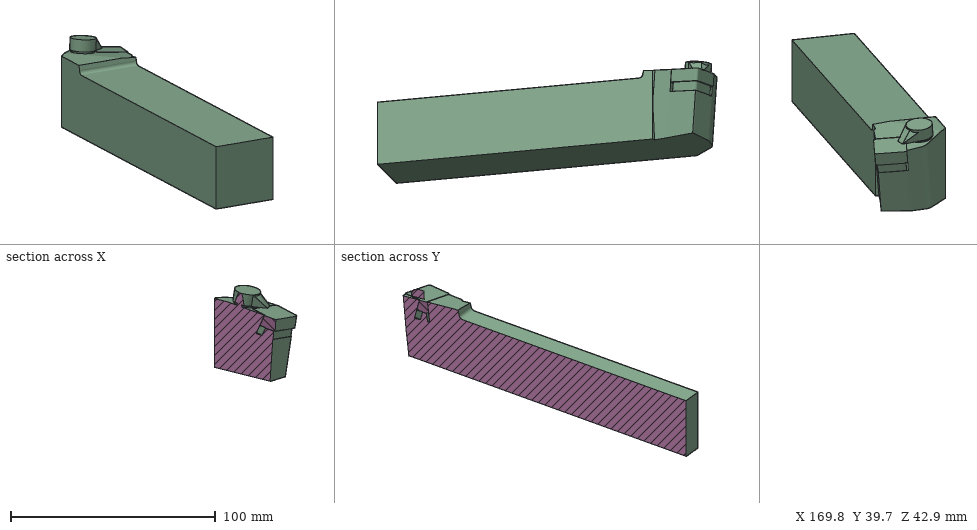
import cadquery as cq
import math

overall_length = 169.8
shank_size = 32.0
head_height = 36.3
step_x = 34.5
step_lean = 0.7
step_radius = 2.0
shank_front_x = 16.5
shank_back_x = 29.5
blank_width = 51.0
blank_overhang = 8.5

tilt = 8.0
hinge_x = 12.9
hinge_y = 3.0
trim_size = 101.9

insert_size = 15.8
insert_thickness = 6.3
insert_radius = 1.2
insert_drop = 0.2
tip_x = 3.9
tip_y = 40.0
lead_angle = 15.0
shim_thickness = 4.6
shim_inset = 0.8
shim_radius = 1.5
seat_depth = insert_drop + insert_thickness + shim_thickness

clamp_x = 11.7
clamp_y = 14.6
clamp_radius = 6.5
clamp_height = 7.0
clamp_gap = 0.8
stem_radius = 6.0

nose_arc_start = (shank_front_x - 13.2, 13.2)
nose_arc_end = (1.2, 16.6)
seat_corner_strip = [(0.7, 24.0), (1.0, 25.6)]
tip_corner_strip = [(4.2, 37.5), (4.8, 38.7)]
back_edge = [(19.4, 35.0), (27.9, 33.3), (shank_back_x, shank_size)]

tilt_rad = math.radians(tilt)
downhill = math.sin(tilt_rad) * math.sqrt(0.5)
seat_plane = cq.Plane(
    origin=(hinge_x, hinge_y, head_height),
    xDir=(1, 1, 0),
    normal=(-downhill, downhill, math.cos(tilt_rad)),
)


def on_seat(x, y):
    """Seat coordinates of the seat-plane point that lies directly above or below plan point (x, y)."""
    dx = x - hinge_x
    dy = y - hinge_y
    return ((dx + dy) * math.sqrt(0.5), (dy - dx) * math.sqrt(0.5) / math.cos(tilt_rad))


def seat_level(depth):
    """Workplane parallel to the seat plane, the given depth below it."""
    return cq.Workplane(seat_plane).workplane(offset=-depth)


def square_prism(inset, depth, thickness):
    """Insert-shaped block reaching down from the given depth, moved in from every edge."""
    size = insert_size - 2 * inset
    corner = on_seat(tip_x, tip_y)
    edge_angle = math.radians(-45 - lead_angle)
    half = insert_size / 2
    center_x = corner[0] + half * (math.cos(edge_angle) + math.sin(edge_angle))
    center_y = corner[1] + half * (math.sin(edge_angle) - math.cos(edge_angle))
    return (
        seat_level(depth + thickness).center(center_x, center_y)
        .transformed(rotate=(0, 0, -45 - lead_angle))
        .rect(size, size).extrude(thickness)
    )


def rounded_prism(inset, depth, thickness, radius):
    """Square block with its four upright corners rounded."""
    block = square_prism(inset, depth, thickness)
    upright = cq.selectors.ParallelDirSelector(seat_plane.zDir)
    return block.edges(upright).fillet(radius)


def make_blank():
    """Stepped side profile over the full width."""
    return (
        cq.Workplane("XZ", origin=(0, blank_width, 0))
        .moveTo(-blank_overhang, 0)
        .lineTo(overall_length, 0)
        .lineTo(overall_length, shank_size)
        .lineTo(step_x + step_radius, shank_size)
        .tangentArcPoint((step_x, shank_size + step_radius), relative=False)
        .lineTo(step_x - step_lean, head_height)
        .lineTo(-blank_overhang, head_height)
        .close().extrude(blank_width)
    )


def make_plan():
    """Upright shank outline joined to the head outline, which leans with the seat."""
    shank = (
        cq.Workplane("XY")
        .polyline([
            (shank_front_x, 0), (overall_length, 0),
            (overall_length, shank_size), (shank_back_x, shank_size),
        ])
        .close().extrude(head_height)
    )
    nose_end_y = -blank_overhang
    outline = seat_corner_strip + tip_corner_strip + back_edge
    head = (
        seat_level(trim_size / 2)
        .moveTo(*on_seat(shank_front_x - nose_end_y, nose_end_y))
        .lineTo(*on_seat(*nose_arc_start))
        .tangentArcPoint(on_seat(*nose_arc_end), relative=False)
        .polyline([on_seat(*point) for point in outline], includeCurrent=True)
        .close().extrude(trim_size)
    )
    return shank.union(head)


def make_clamp():
    """Round clamp head and faceted nose, held just clear of the head by a narrower stem."""
    center = on_seat(clamp_x, clamp_y)
    head = seat_level(-clamp_gap).center(*center).circle(clamp_radius).extrude(clamp_height - clamp_gap)
    stem = seat_level(0).center(*center).circle(stem_radius).extrude(clamp_height)

    left_root = (5.6, 15.0)
    right_root = (15.1, 20.0)
    left_tip = (6.3, 25.1)
    right_tip = (10.2, 26.3)
    left_crest = (8.8, 19.7)
    crest_ratio = 0.48
    right_crest = (
        left_crest[0] + crest_ratio * (right_tip[0] - left_tip[0]),
        left_crest[1] + crest_ratio * (right_tip[1] - left_tip[1]),
    )

    def corner(point, level):
        return seat_plane.toWorldCoords((*on_seat(*point), level))

    low_left = corner(left_root, clamp_gap)
    low_right = corner(right_root, clamp_gap)
    tip_left = corner(left_tip, clamp_gap)
    tip_right = corner(right_tip, clamp_gap)
    high_left = corner(left_root, clamp_height)
    high_right = corner(right_root, clamp_height)
    crest_left = corner(left_crest, clamp_height)
    crest_right = corner(right_crest, clamp_height)
    facets = [
        [low_left, tip_left, tip_right, low_right],
        [high_left, high_right, crest_right, crest_left],
        [low_left, low_right, high_right, high_left],
        [low_left, high_left, tip_left],
        [high_left, crest_left, tip_left],
        [crest_left, crest_right, tip_right, tip_left],
        [crest_right, high_right, tip_right],
        [high_right, low_right, tip_right],
    ]
    faces = [cq.Face.makeFromWires(cq.Wire.makePolygon(facet, close=True)) for facet in facets]
    nose = cq.Solid.makeSolid(cq.Shell.makeShell(faces))
    return head.union(stem).union(cq.Workplane(nose))


def make_holder():
    """Shank, head with insert pocket, shim and clamp as one solid."""
    above_seat = (
        cq.Workplane(seat_plane)
        .rect(2 * trim_size, trim_size)
        .extrude(trim_size)
        .translate(seat_plane.yDir * (trim_size / 2))
    )
    pocket = square_prism(0, 0, seat_depth)
    shim = rounded_prism(shim_inset, insert_drop + insert_thickness, shim_thickness, shim_radius)
    body = make_blank().intersect(make_plan()).cut(above_seat).cut(pocket)
    return body.union(shim).union(make_clamp()).solids()


holder = make_holder()
insert = rounded_prism(0, insert_drop, insert_thickness, insert_radius)

result = cq.Compound.makeCompound([holder.val(), insert.val()])